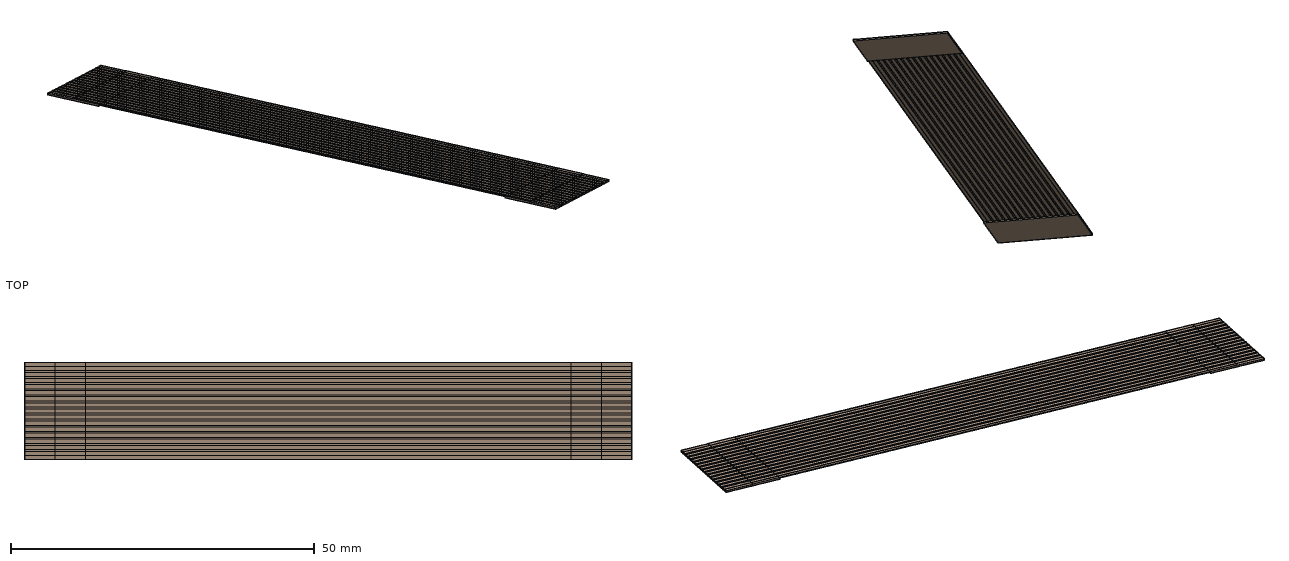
import cadquery as cq

length = 100.0
width = 16.0
thickness = 0.36

film_thickness = 0.043
channel_depth = 0.05
stiffener_thickness = thickness - 2 * film_thickness - channel_depth

stripped_length = 5.0
stiffener_length = 10.0

channel_count = 15
channel_pitch = 1.0
channel_width = 0.7

base_film_bottom = stiffener_thickness
channel_floor = base_film_bottom + film_thickness
channel_roof = channel_floor + channel_depth


def slab(size_x, size_y, bottom, top, x=0, y=0):
    """Flat box centred on (x, y) between two heights."""
    base = cq.Workplane("XY", origin=(x, y, bottom))
    return base.box(size_x, size_y, top - bottom, centered=(True, True, False))


def channelled_base():
    """Full-length lower layer with parallel channels along its top face."""
    base = slab(length, width, base_film_bottom, channel_roof)
    first_y = -(channel_count - 1) / 2 * channel_pitch
    for index in range(channel_count):
        y = first_y + index * channel_pitch
        base = base.cut(slab(length, channel_width, channel_floor, channel_roof, y=y))
    return base


def cover_film():
    """Top film that leaves the channels open at both stripped ends."""
    return slab(length - 2 * stripped_length, width, channel_roof, thickness)


def stiffener(side):
    """Backing strip under one end; side is -1 or 1 along X."""
    x = side * (length - stiffener_length) / 2
    return slab(stiffener_length, width, 0, base_film_bottom, x=x)


result = channelled_base().union(cover_film())
for side in (-1, 1):
    result = result.union(stiffener(side))